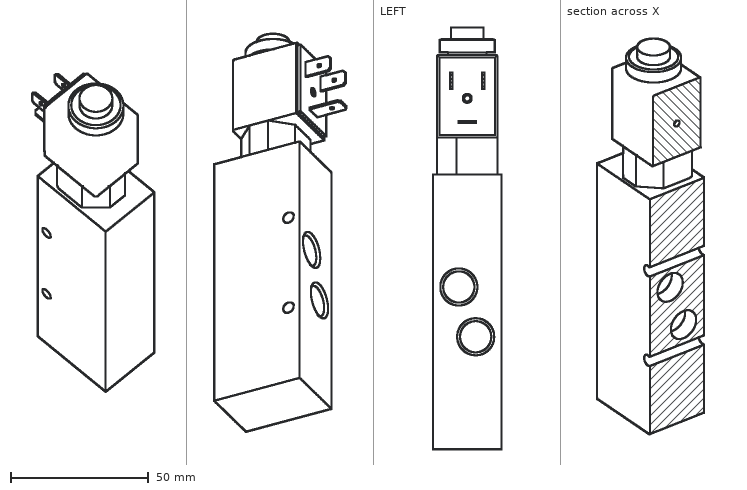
import cadquery as cq


BLOCK_LENGTH = 35.0
BLOCK_WIDTH = 25.0
BLOCK_HEIGHT = 99.8
END_CAP_HEIGHT = 19.1
BLOCK_MIDDLE_Z = BLOCK_HEIGHT / 2

PORT_BORE = 11.3
PORT_MOUTH = 13.5
PORT_DEPTH = 10.0
PORT_CHAMFER = (PORT_MOUTH - PORT_BORE) / 2
PORT_OFFSET_Y = 3.0
PORT_OFFSET_Z = 9.0

MOUNT_HOLE = 4.3
MOUNT_HOLE_X = 4.6
MOUNT_OFFSET_Z = 19.0

STEM_WIDTH = 22.0
STEM_X = 17.5
STEM_BACK_X = STEM_X + STEM_WIDTH / 2
STEM_HEIGHT = 13.3
STEM_CHAMFER = 7.2
STEM_ROUND = 3.5

COIL_WIDTH = STEM_WIDTH
COIL_LENGTH = 26.3
COIL_HEIGHT = 30.0
COIL_ROUND = 0.9
COIL_FRONT_X = STEM_BACK_X - COIL_LENGTH
COIL_BOTTOM_Z = BLOCK_HEIGHT + STEM_HEIGHT
COIL_TOP_Z = COIL_BOTTOM_Z + COIL_HEIGHT

PLATE_THICKNESS = 1.2
PLATE_INSET = 0.9
PLATE_FRONT_X = COIL_FRONT_X - PLATE_THICKNESS

SCREW_MOUTH = 3.2
SCREW_HOLE = 2.3
SCREW_CHAMFER = (SCREW_MOUTH - SCREW_HOLE) / 2
SCREW_HOLE_DEPTH = 4.6
SCREW_HOLE_Z = 127.3

BLADE_THICKNESS = 0.8
BLADE_TIP_CHAMFER = 0.9
BLADE_HOLE = 1.4
UPRIGHT_BLADE_REACH = 10.1
UPRIGHT_BLADE_WIDTH = 6.0
UPRIGHT_HOLE_FROM_TIP = 4.5
UPRIGHT_BLADE_Y = 5.8
UPRIGHT_BLADE_Z = 133.7
FLAT_BLADE_REACH = 12.4
FLAT_BLADE_WIDTH = 6.3
FLAT_HOLE_FROM_TIP = 4.7
FLAT_BLADE_Z = 118.7

NECK_DIAMETER = 14.0
NECK_HEIGHT = 0.9
NUT_DIAMETER = 20.0
NUT_HEIGHT = 4.9
NUT_CHAMFER_WIDTH = 1.0
NUT_CHAMFER_HEIGHT = 0.5
BUTTON_DIAMETER = 12.0
TOP_Z = 153.0


def box_from(x, z, length, width, height):
    """Box starting at x and z, centred on Y = 0."""
    return cq.Workplane("XY").box(length, width, height, centered=(False, True, False)).translate((x, 0, z))


def disc(diameter, bottom_z, height):
    """Upright cylinder on the stem axis."""
    return cq.Workplane("XY", origin=(STEM_X, 0, bottom_z)).circle(diameter / 2).extrude(height)


def turned_along_x(profile, x, y, z):
    """Solid turned from (radius, depth) points, its depth running toward +X from x."""
    turned = cq.Workplane("XY").polyline(profile).close().revolve(360, (0, 0, 0), (0, 1, 0))
    return turned.rotate((0, 0, 0), (0, 0, 1), -90).translate((x, y, z))


def make_valve_block():
    """Block with two end caps, staggered ports and mounting holes."""
    middle_height = BLOCK_HEIGHT - 2 * END_CAP_HEIGHT
    lower_cap = box_from(0, 0, BLOCK_LENGTH, BLOCK_WIDTH, END_CAP_HEIGHT)
    middle = box_from(0, END_CAP_HEIGHT, BLOCK_LENGTH, BLOCK_WIDTH, middle_height)
    upper_cap = lower_cap.translate((0, 0, BLOCK_HEIGHT - END_CAP_HEIGHT))

    port_profile = [
        (0, 0),
        (PORT_MOUTH / 2, 0),
        (PORT_BORE / 2, PORT_CHAMFER),
        (PORT_BORE / 2, PORT_DEPTH),
        (0, PORT_DEPTH),
    ]
    for side in (-1, 1):
        port_y = side * PORT_OFFSET_Y
        port_z = BLOCK_MIDDLE_Z + side * PORT_OFFSET_Z
        middle = middle.cut(turned_along_x(port_profile, 0, port_y, port_z))

        hole_z = BLOCK_MIDDLE_Z + side * MOUNT_OFFSET_Z
        hole_plane = cq.Workplane("XZ", origin=(MOUNT_HOLE_X, 0, hole_z))
        middle = middle.cut(hole_plane.circle(MOUNT_HOLE / 2).extrude(BLOCK_WIDTH, both=True))

    return middle.union(lower_cap, clean=False).union(upper_cap, clean=False)


def make_stem():
    """Square pilot stem: one corner rounded, the other three chamfered."""
    front_x = STEM_BACK_X - STEM_WIDTH
    stem = box_from(front_x, BLOCK_HEIGHT, STEM_WIDTH, STEM_WIDTH, STEM_HEIGHT)
    stem = stem.edges("|Z and (>X or >Y)").chamfer(STEM_CHAMFER)
    rounded_corner = (front_x, -STEM_WIDTH / 2, BLOCK_HEIGHT + STEM_HEIGHT / 2)
    return stem.edges(cq.selectors.NearestToPointSelector(rounded_corner)).fillet(STEM_ROUND)


def make_valve_body():
    """Valve block and pilot stem as one body."""
    return make_valve_block().union(make_stem(), clean=False)


def make_coil_housing():
    """Coil housing with rounded top and back edges and a plate on its -X face."""
    coil = box_from(COIL_FRONT_X, COIL_BOTTOM_Z, COIL_LENGTH, COIL_WIDTH, COIL_HEIGHT)
    coil = coil.edges("(|Z and >X) or (>Z and (not <X))").fillet(COIL_ROUND)
    plate = box_from(
        PLATE_FRONT_X,
        COIL_BOTTOM_Z + PLATE_INSET,
        PLATE_THICKNESS,
        COIL_WIDTH - 2 * PLATE_INSET,
        COIL_HEIGHT - 2 * PLATE_INSET,
    )
    screw_radius = SCREW_HOLE / 2
    screw_profile = [
        (0, 0),
        (SCREW_MOUTH / 2, 0),
        (screw_radius, SCREW_CHAMFER),
        (screw_radius, SCREW_HOLE_DEPTH),
        (0, SCREW_HOLE_DEPTH + screw_radius),
    ]
    screw_hole = turned_along_x(screw_profile, PLATE_FRONT_X, 0, SCREW_HOLE_Z)
    return coil.union(plate).cut(screw_hole)


def make_flat_blade(reach, width, hole_from_tip):
    """Terminal blade lying flat, root on X = 0 and pointing toward -X."""
    blade = box_from(-reach, 0, reach, width, BLADE_THICKNESS)
    blade = blade.translate((0, 0, -BLADE_THICKNESS / 2))
    blade = blade.edges("|Z and <X").chamfer(BLADE_TIP_CHAMFER)
    hole = cq.Workplane("XY").circle(BLADE_HOLE / 2).extrude(BLADE_THICKNESS, both=True)
    return blade.cut(hole.translate((hole_from_tip - reach, 0, 0)))


def make_nut():
    """Neck, chamfered nut and button, stacked above the coil."""
    nut_bottom_z = COIL_TOP_Z + NECK_HEIGHT
    nut_top_z = nut_bottom_z + NUT_HEIGHT
    neck = disc(NECK_DIAMETER, COIL_TOP_Z, NECK_HEIGHT)
    nut = disc(NUT_DIAMETER, nut_bottom_z, NUT_HEIGHT)
    nut = nut.faces(">Z").chamfer(NUT_CHAMFER_HEIGHT, NUT_CHAMFER_WIDTH)
    button = disc(BUTTON_DIAMETER, nut_top_z, TOP_Z - nut_top_z)
    return neck.union(nut).union(button)


def make_coil():
    """Coil housing, nut and three terminal blades as one body."""
    coil = make_coil_housing().union(make_nut())
    upright_blade = make_flat_blade(UPRIGHT_BLADE_REACH, UPRIGHT_BLADE_WIDTH, UPRIGHT_HOLE_FROM_TIP)
    upright_blade = upright_blade.rotate((0, 0, 0), (1, 0, 0), 90)
    for blade_y in (-UPRIGHT_BLADE_Y, UPRIGHT_BLADE_Y):
        coil = coil.union(upright_blade.translate((PLATE_FRONT_X, blade_y, UPRIGHT_BLADE_Z)))
    flat_blade = make_flat_blade(FLAT_BLADE_REACH, FLAT_BLADE_WIDTH, FLAT_HOLE_FROM_TIP)
    return coil.union(flat_blade.translate((PLATE_FRONT_X, 0, FLAT_BLADE_Z)))


valve_body = make_valve_body()
coil = make_coil()

result = cq.Compound.makeCompound([valve_body.val(), coil.val()])